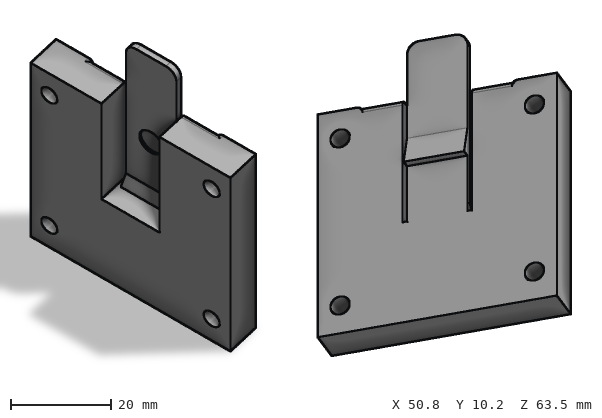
import cadquery as cq
import math

plate_size = 50.8
plate_thickness = 8.25
hole_diameter = 4.05
hole_edge_z = 6.35
hole_edge_x = 4.75

slot_width = 14.75
slot_bottom = 22.85

tongue_top = 63.5
tongue_width = 12.8
tongue_thickness = 1.6
tongue_corner_radius = 2.65
root_depth = 3.25
root_height = 2.6

dimple_diameter = 6.0
dimple_depth = 0.5
dimple_z = 38.75

catch_bottom = 35.45
catch_height = 6.35
catch_depth = 2.0

relief_length = 34.3
relief_radius = 1.3


def extrude_across(points, width):
    """Extrude a (Y, Z) outline along X, centred on X = 0."""
    return cq.Workplane("YZ").polyline(points).close().extrude(width / 2, both=True)


def front_cylinder(x, z, diameter, front_y, depth):
    """Cylinder running from front_y toward +Y."""
    direction = cq.Vector(0, 1, 0)
    return cq.Workplane(
        cq.Solid.makeCylinder(diameter / 2, depth, cq.Vector(x, front_y, z), direction)
    )


def make_relief_cutter():
    """Cutter leaving a convex round along the rear top edge and at both ends."""
    round_bottom = plate_size - relief_radius
    arc_offset = relief_radius * math.sin(math.radians(45))
    half_top = relief_length / 2
    half_bottom = half_top - relief_radius
    edge_cutter = (
        cq.Workplane("YZ")
        .moveTo(-relief_radius, plate_size)
        .threePointArc((-relief_radius + arc_offset, round_bottom + arc_offset), (0, round_bottom))
        .lineTo(0, plate_size)
        .close()
        .extrude(half_top, both=True)
    )
    end_limits = (
        cq.Workplane("XZ")
        .moveTo(-half_top, plate_size)
        .threePointArc(
            (-half_top + arc_offset, round_bottom + arc_offset), (-half_bottom, round_bottom)
        )
        .lineTo(half_bottom, round_bottom)
        .threePointArc((half_top - arc_offset, round_bottom + arc_offset), (half_top, plate_size))
        .close()
        .extrude(relief_radius)
    )
    return edge_cutter.intersect(end_limits)


def make_plate():
    plate = cq.Workplane("XY").box(
        plate_size, plate_thickness, plate_size, centered=(True, False, False)
    ).translate((0, -plate_thickness, 0))
    slot = cq.Workplane("XY").box(
        slot_width, plate_thickness, plate_size - slot_bottom, centered=(True, False, False)
    ).translate((0, -plate_thickness, slot_bottom))
    plate = plate.cut(make_relief_cutter()).cut(slot)
    hole_x = plate_size / 2 - hole_edge_x
    for x in (-hole_x, hole_x):
        for z in (hole_edge_z, plate_size - hole_edge_z):
            plate = plate.cut(
                front_cylinder(x, z, hole_diameter, -plate_thickness, plate_thickness)
            )
    return plate


def make_tongue():
    tongue = extrude_across(
        [
            (0, slot_bottom),
            (-root_depth, slot_bottom),
            (-tongue_thickness, slot_bottom + root_height),
            (-tongue_thickness, tongue_top),
            (0, tongue_top),
        ],
        tongue_width,
    )
    tongue = tongue.faces(">Z").edges("|Y").fillet(tongue_corner_radius)
    tongue = tongue.cut(
        front_cylinder(0, dimple_z, dimple_diameter, -tongue_thickness, dimple_depth)
    )
    catch = extrude_across(
        [
            (0, catch_bottom),
            (catch_depth, catch_bottom),
            (0, catch_bottom + catch_height),
        ],
        tongue_width,
    )
    return tongue.union(catch)


result = make_plate().union(make_tongue())